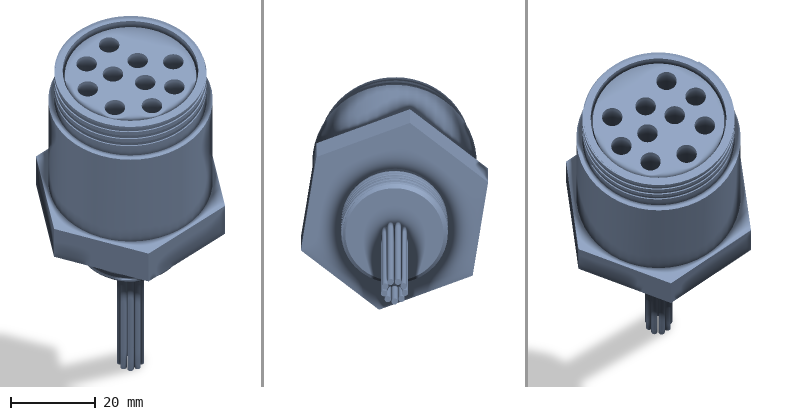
import cadquery as cq
import math

TOTAL_HEIGHT = 100.7
STUB_BOTTOM_Z = 40.0
HEX_BOTTOM_Z = 52.8
HEX_TOP_Z = 62.4
BODY_TOP_Z = 90.8

HEX_ACROSS_CORNERS = 47.3
BODY_DIAMETER = 38.8
COLLAR_DIAMETER = 36.0

RECESS_DIAMETER = 32.0
INSERT_DIAMETER = 31.0
INSERT_SETBACK = 1.5
INSERT_GAP_DEPTH = 3.0
INSERT_TOP_Z = TOTAL_HEIGHT - INSERT_SETBACK

HOLE_DIAMETER = 4.8
HOLE_DEPTH = 10.1
HOLE_RING_RADIUS = 11.0
HOLE_RING_TILT = 43.0
TOP_INNER_HOLE_Y = 5.0
LOW_INNER_HOLE_X = 4.0
LOW_INNER_HOLE_Y = -1.0

NECK_DIAMETER = 23.9
NECK_LENGTH = 2.4
STUB_DIAMETER = 25.2
STUB_TOP_TAPER = 1.0
STUB_BOTTOM_TAPER = 1.2
STUB_END_DIAMETER = 23.2

COLLAR_PITCH = 2.4
COLLAR_GROOVE_WIDTH = COLLAR_PITCH / 2
COLLAR_GROOVE_DEPTH = 0.3
COLLAR_GROOVE_START_Z = 93.9
COLLAR_GROOVE_START_ANGLE = 171.0
COLLAR_TURNS = 3.5
COLLAR_TRIM = 2 * COLLAR_PITCH

STUB_PITCH = 1.8
STUB_GROOVE_WIDTH = 0.8
STUB_GROOVE_DEPTH = 0.4
STUB_GROOVE_ROOT_WIDTH = 0.3
STUB_GROOVE_START_Z = 40.6
STUB_GROOVE_START_ANGLE = 0.0
STUB_TURNS = 5.0

WIRE_COUNT = 9
WIRE_DIAMETER = 1.5
WIRE_RING_RADIUS = 2.5
WIRE_EMBED = 1.0

OVERSHOOT = 0.4


def cylinder(diameter, bottom_z, top_z):
    return cq.Workplane("XY").workplane(offset=bottom_z).circle(diameter / 2).extrude(top_z - bottom_z)


def polar(radius, angle):
    """XY position at the given radius and angle in degrees."""
    return (radius * math.cos(math.radians(angle)), radius * math.sin(math.radians(angle)))


def hexagon_flange():
    plane = cq.Workplane("XY").workplane(offset=HEX_BOTTOM_Z)
    return plane.polygon(6, HEX_ACROSS_CORNERS).extrude(HEX_TOP_Z - HEX_BOTTOM_Z)


def stub():
    """Neck and stub with tapered ends, turned about Z."""
    neck_radius = NECK_DIAMETER / 2
    stub_radius = STUB_DIAMETER / 2
    neck_bottom_z = HEX_BOTTOM_Z - NECK_LENGTH
    outline = [
        (0, HEX_BOTTOM_Z),
        (neck_radius, HEX_BOTTOM_Z),
        (neck_radius, neck_bottom_z),
        (stub_radius, neck_bottom_z - STUB_TOP_TAPER),
        (stub_radius, STUB_BOTTOM_Z + STUB_BOTTOM_TAPER),
        (STUB_END_DIAMETER / 2, STUB_BOTTOM_Z),
        (0, STUB_BOTTOM_Z),
    ]
    return cq.Workplane("XZ").polyline(outline).close().revolve(360, (0, 0, 0), (0, 1, 0))


def helical_cutter(diameter, depth, width, root_width, pitch, turns, start_z, start_angle):
    """Right-handed cutter for a groove centred on start_z at start_angle."""
    surface_radius = diameter / 2
    root_radius = surface_radius - depth
    flank_slope = (width - root_width) / 2 / depth
    outer_half_width = width / 2 + flank_slope * OVERSHOOT
    profile = [
        (root_radius, -root_width / 2),
        (surface_radius + OVERSHOOT, -outer_half_width),
        (surface_radius + OVERSHOOT, outer_half_width),
        (root_radius, root_width / 2),
    ]
    helix = cq.Workplane(cq.Wire.makeHelix(pitch, pitch * turns, surface_radius))
    cutter = cq.Workplane("XZ").polyline(profile).close().sweep(helix, isFrenet=True)
    return cutter.rotate((0, 0, 0), (0, 0, 1), start_angle).translate((0, 0, start_z))


def recess():
    """Recess above the insert and the narrow gap around it."""
    bore = cylinder(RECESS_DIAMETER, INSERT_TOP_Z - INSERT_GAP_DEPTH, TOTAL_HEIGHT)
    insert = cylinder(INSERT_DIAMETER, INSERT_TOP_Z - INSERT_GAP_DEPTH, INSERT_TOP_Z)
    return bore.cut(insert)


def contact_holes():
    """Seven holes on the outer ring and three around the centre."""
    ring_angles = [
        0,
        HOLE_RING_TILT,
        180 - HOLE_RING_TILT,
        180,
        180 + HOLE_RING_TILT,
        270,
        360 - HOLE_RING_TILT,
    ]
    centres = [polar(HOLE_RING_RADIUS, angle) for angle in ring_angles]
    centres += [
        (0, TOP_INNER_HOLE_Y),
        (-LOW_INNER_HOLE_X, LOW_INNER_HOLE_Y),
        (LOW_INNER_HOLE_X, LOW_INNER_HOLE_Y),
    ]
    insert_top = cq.Workplane("XY").workplane(offset=INSERT_TOP_Z)
    return insert_top.pushPoints(centres).circle(HOLE_DIAMETER / 2).extrude(-HOLE_DEPTH)


def wires():
    """Ring of wires, one of them on the +Y axis, rooted inside the stub."""
    step = 360 / WIRE_COUNT
    centres = [polar(WIRE_RING_RADIUS, 90 + step * i) for i in range(WIRE_COUNT)]
    length = STUB_BOTTOM_Z + WIRE_EMBED
    return cq.Workplane("XY").pushPoints(centres).circle(WIRE_DIAMETER / 2).extrude(length)


collar_groove = helical_cutter(
    COLLAR_DIAMETER,
    COLLAR_GROOVE_DEPTH,
    COLLAR_GROOVE_WIDTH,
    COLLAR_GROOVE_WIDTH,
    COLLAR_PITCH,
    COLLAR_TURNS,
    COLLAR_GROOVE_START_Z,
    COLLAR_GROOVE_START_ANGLE,
)
collar_bar = cylinder(COLLAR_DIAMETER, BODY_TOP_Z, TOTAL_HEIGHT + COLLAR_TRIM)
above_top = cylinder(BODY_DIAMETER, TOTAL_HEIGHT, TOTAL_HEIGHT + COLLAR_TRIM)
collar = collar_bar.cut(collar_groove).cut(above_top)

stub_groove = helical_cutter(
    STUB_DIAMETER,
    STUB_GROOVE_DEPTH,
    STUB_GROOVE_WIDTH,
    STUB_GROOVE_ROOT_WIDTH,
    STUB_PITCH,
    STUB_TURNS,
    STUB_GROOVE_START_Z,
    STUB_GROOVE_START_ANGLE,
)
threaded_stub = stub().cut(stub_groove)

body = cylinder(BODY_DIAMETER, HEX_TOP_Z, BODY_TOP_Z)
result = hexagon_flange().union(body).union(collar).union(threaded_stub).union(wires())
result = result.cut(recess()).cut(contact_holes())